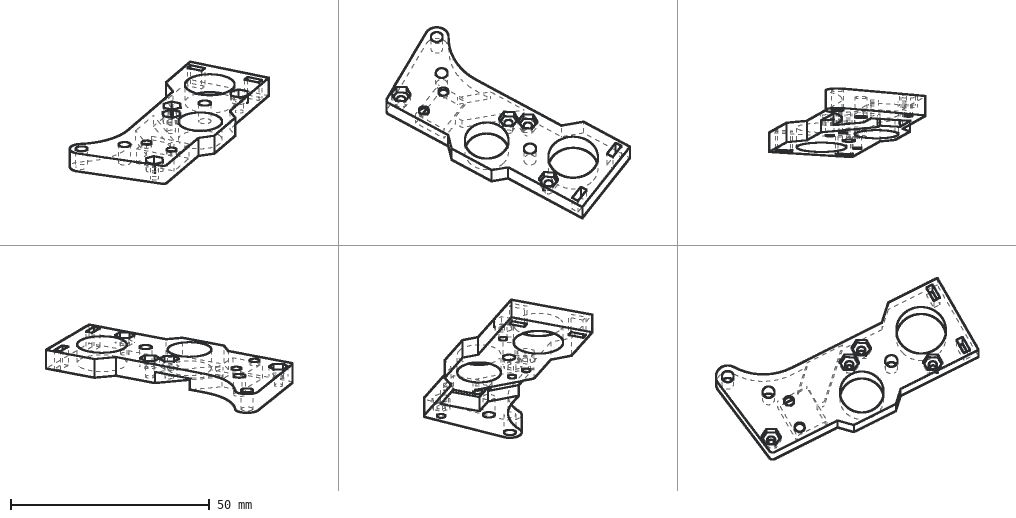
import cadquery as cq
import math

THICKNESS = 5.0

TIP_RADIUS = 3.0
HOLLOW_RADIUS = 15.0
CORNER_RADIUS = 1.0
CORNER_CENTER_Y = 0.75
PLATE_WIDTH = 22.0
PLATE_LEFT = 1.5
PLATE_RIGHT = PLATE_LEFT + PLATE_WIDTH
PLATE_TOP = 59.0
WAIST_STEP = 4.0
WAIST_LEFT = PLATE_LEFT + WAIST_STEP
WAIST_TOP = 41.0
TAB_OUT = 3.0
TAB_LENGTH = 12.0
TAB_CENTER_Y = 27.75

LARGE_HOLE = (12.5, (12.0, 48.75))
TAB_HOLE = (11.0, (19.6, TAB_CENTER_Y))
TIP_HOLE = (3.0, (0.0, 0.0))
LOWER_HOLE = (3.0, (8.55, 7.05))
MIDDLE_HOLE = (3.1, (15.75, 38.25))
POCKET_HOLES = [(2.5, (13.05, 10.5)), (2.5, (20.55, 9.5))]

NUT_CORNER_DIAMETER = 4.85
UPPER_NUT_CENTERS = [(21.0, 47.25), (9.05, 33.25), (11.05, 28.75)]
UPPER_NUT_DEPTH = 2.0
LOWER_NUT_CENTER = (19.45, 1.95)
LOWER_NUT_DEPTH = 2.5
SCREW_DIAMETER = 2.1

SLOT_LENGTH = 4.0
SLOT_WIDTH = 1.75
SLOT_SIDE_MARGIN = 1.0
SLOT_CENTER_Y = 56.2

CHANNEL_DEPTH = 3.0
CHANNEL_MOUTH = 10.1
CHANNEL_MOUTH_LOW = 19.7

POCKET_DEPTH = 4.0
POCKET_LEFT = 11.5
POCKET_RIGHT = 22.0
POCKET_LOW = 8.0
POCKET_HIGH = 16.5


def on_circle(center, radius, angle):
    """Point of a circle at an angle in radians."""
    return (center[0] + radius * math.cos(angle), center[1] + radius * math.sin(angle))


def plate():
    tip = (0.0, 0.0)

    hollow_x = WAIST_LEFT - HOLLOW_RADIUS
    hollow_y = math.sqrt((HOLLOW_RADIUS + TIP_RADIUS) ** 2 - hollow_x**2)
    hollow = (hollow_x, hollow_y)
    tip_angle = math.atan2(hollow_y, hollow_x)
    hollow_middle_angle = (tip_angle - math.pi) / 2

    corner = (PLATE_RIGHT - CORNER_RADIUS, CORNER_CENTER_Y)
    center_distance = math.hypot(corner[0], corner[1])
    slope = math.atan2(corner[1], corner[0]) + math.asin((TIP_RADIUS - CORNER_RADIUS) / center_distance)
    edge_angle = slope - math.pi / 2
    tip_middle_angle = (tip_angle + edge_angle + 2 * math.pi) / 2

    tab_half = TAB_LENGTH / 2
    return (
        cq.Workplane("XY")
        .moveTo(*on_circle(tip, TIP_RADIUS, edge_angle))
        .lineTo(*on_circle(corner, CORNER_RADIUS, edge_angle))
        .threePointArc(on_circle(corner, CORNER_RADIUS, edge_angle / 2), (PLATE_RIGHT, CORNER_CENTER_Y))
        .lineTo(PLATE_RIGHT, TAB_CENTER_Y - tab_half - TAB_OUT)
        .lineTo(PLATE_RIGHT + TAB_OUT, TAB_CENTER_Y - tab_half)
        .lineTo(PLATE_RIGHT + TAB_OUT, TAB_CENTER_Y + tab_half)
        .lineTo(PLATE_RIGHT, TAB_CENTER_Y + tab_half + TAB_OUT)
        .lineTo(PLATE_RIGHT, PLATE_TOP)
        .lineTo(PLATE_LEFT, PLATE_TOP)
        .lineTo(PLATE_LEFT, WAIST_TOP + WAIST_STEP)
        .lineTo(WAIST_LEFT, WAIST_TOP)
        .lineTo(WAIST_LEFT, hollow_y)
        .threePointArc(
            on_circle(hollow, HOLLOW_RADIUS, hollow_middle_angle),
            on_circle(tip, TIP_RADIUS, tip_angle),
        )
        .threePointArc(
            on_circle(tip, TIP_RADIUS, tip_middle_angle),
            on_circle(tip, TIP_RADIUS, edge_angle),
        )
        .close()
        .extrude(THICKNESS)
    )


def round_hole(diameter, center):
    return cq.Workplane("XY").center(*center).circle(diameter / 2).extrude(THICKNESS)


def nut_hole(center, recess_depth):
    """Screw hole with a hexagonal recess at its upper end."""
    floor = cq.Workplane("XY").workplane(offset=THICKNESS - recess_depth)
    recess = floor.center(*center).polygon(6, NUT_CORNER_DIAMETER).extrude(recess_depth)
    return recess.union(round_hole(SCREW_DIAMETER, center))


def strap_slots():
    inset = SLOT_SIDE_MARGIN + SLOT_LENGTH / 2
    centers = [(PLATE_LEFT + inset, SLOT_CENTER_Y), (PLATE_RIGHT - inset, SLOT_CENTER_Y)]
    return cq.Workplane("XY").pushPoints(centers).rect(SLOT_LENGTH, SLOT_WIDTH).extrude(THICKNESS)


def channel():
    """Channel running at 45 degrees from the left edge down to the middle of the pocket."""
    run = (POCKET_LEFT + POCKET_RIGHT) / 2 - WAIST_LEFT
    mouth_high = CHANNEL_MOUTH_LOW + CHANNEL_MOUTH
    inner_x = WAIST_LEFT + run
    corners = [
        (WAIST_LEFT, mouth_high),
        (WAIST_LEFT, CHANNEL_MOUTH_LOW),
        (inner_x, CHANNEL_MOUTH_LOW - run),
        (inner_x, mouth_high - run),
    ]
    return cq.Workplane("XY").polyline(corners).close().extrude(CHANNEL_DEPTH)


def pocket():
    size = (POCKET_RIGHT - POCKET_LEFT, POCKET_HIGH - POCKET_LOW)
    low_corner = (POCKET_LEFT, POCKET_LOW)
    return cq.Workplane("XY").center(*low_corner).rect(*size, centered=False).extrude(POCKET_DEPTH)


result = plate().cut(strap_slots()).cut(channel()).cut(pocket())
for hole_diameter, hole_center in [LARGE_HOLE, TAB_HOLE, TIP_HOLE, LOWER_HOLE, MIDDLE_HOLE] + POCKET_HOLES:
    result = result.cut(round_hole(hole_diameter, hole_center))
for nut_center in UPPER_NUT_CENTERS:
    result = result.cut(nut_hole(nut_center, UPPER_NUT_DEPTH))
result = result.cut(nut_hole(LOWER_NUT_CENTER, LOWER_NUT_DEPTH))